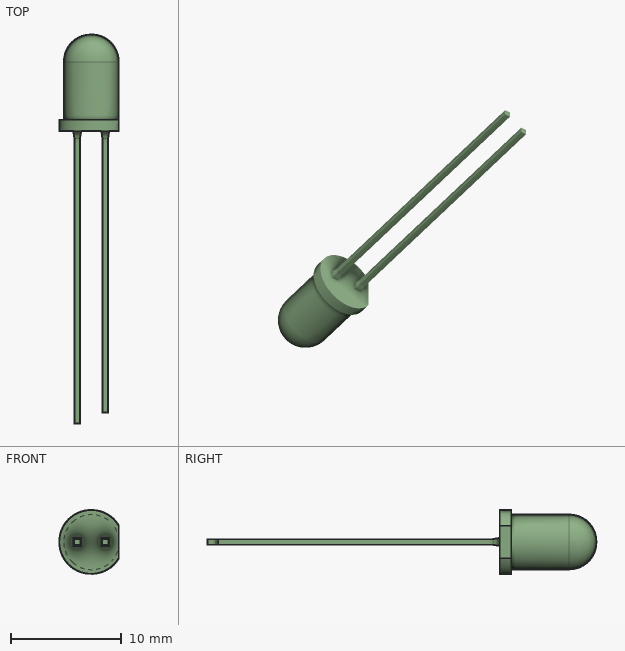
import cadquery as cq

overall_length = 35.2

lens_radius = 2.5
lens_length = 8.75
flange_diameter = 5.8
flange_radius = flange_diameter / 2
flange_thickness = 1.05
flat_offset = lens_radius

lead_pitch = 2.55
lead_width = 0.53
long_lead_length = overall_length - lens_length
lead_length_difference = 1.0
short_lead_length = long_lead_length - lead_length_difference
root_width = 0.75
root_length = 0.65
lead_embed = 0.35

base_y = -overall_length / 2 + long_lead_length


def make_lens():
    """Cylinder with a hemispherical end, revolved about the Y axis."""
    dome_start = base_y + lens_length - lens_radius
    diagonal = lens_radius * 0.5 ** 0.5
    return (
        cq.Workplane("XY")
        .moveTo(0, base_y)
        .lineTo(lens_radius, base_y)
        .lineTo(lens_radius, dome_start)
        .threePointArc((diagonal, dome_start + diagonal), (0, base_y + lens_length))
        .close()
        .revolve(360, (0, 0, 0), (0, 1, 0))
    )


def make_flange():
    """Round flange with one flat on the +X side."""
    disc = (
        cq.Workplane("XZ", origin=(0, base_y, 0))
        .circle(flange_radius)
        .extrude(-flange_thickness)
    )
    keep = cq.Workplane("XY").box(
        flange_radius + flat_offset, overall_length, flange_diameter
    ).translate(((flat_offset - flange_radius) / 2, 0, 0))
    return disc.intersect(keep)


def make_lead(x, length):
    """Square lead with a root that widens towards the flange."""
    shaft = (
        cq.Workplane("XZ", origin=(x, base_y + lead_embed, 0))
        .rect(lead_width, lead_width)
        .extrude(lead_embed + length)
    )
    root = (
        cq.Workplane("XZ", origin=(x, base_y, 0))
        .rect(root_width, root_width)
        .workplane(offset=root_length)
        .rect(lead_width, lead_width)
        .loft(ruled=True)
    )
    return shaft.union(root)


result = (
    make_lens()
    .union(make_flange())
    .union(make_lead(-lead_pitch / 2, long_lead_length))
    .union(make_lead(lead_pitch / 2, short_lead_length))
)